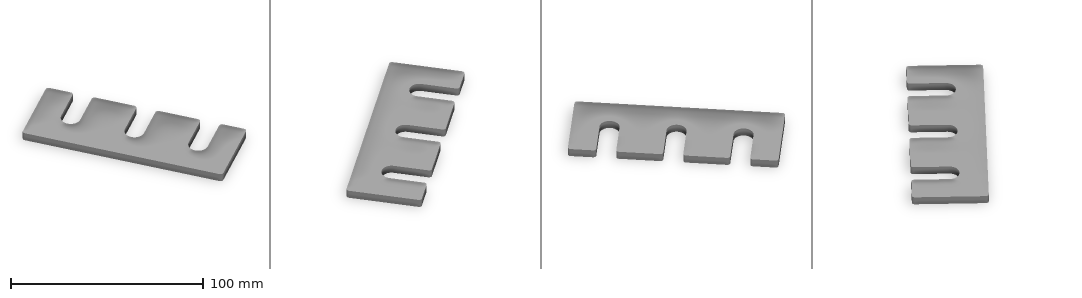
import cadquery as cq

length = 110.0
width = 40.0
thickness = 4.6
corner_radius = 1.5

slot_count = 3
slot_pitch = 35.0
slot_width = 10.5
slot_depth = 25.3

slot_radius = slot_width / 2
back_edge = width / 2
slot_center_y = back_edge - slot_depth + slot_radius


def slot_cutter(center_x):
    """Round-bottomed slot that opens through the +Y edge."""
    return (
        cq.Workplane("XY")
        .moveTo(center_x - slot_radius, back_edge)
        .lineTo(center_x - slot_radius, slot_center_y)
        .threePointArc(
            (center_x, slot_center_y - slot_radius),
            (center_x + slot_radius, slot_center_y),
        )
        .lineTo(center_x + slot_radius, back_edge)
        .close()
        .extrude(thickness)
    )


plate = cq.Workplane("XY").box(length, width, thickness, centered=(True, True, False))
for index in range(slot_count):
    slot_x = (index - (slot_count - 1) / 2) * slot_pitch
    plate = plate.cut(slot_cutter(slot_x))

back_corners = plate.faces(">Y").edges("|Z")
front_corners = plate.faces("<Y").edges("|Z")
result = plate.newObject(back_corners.vals() + front_corners.vals()).fillet(corner_radius)